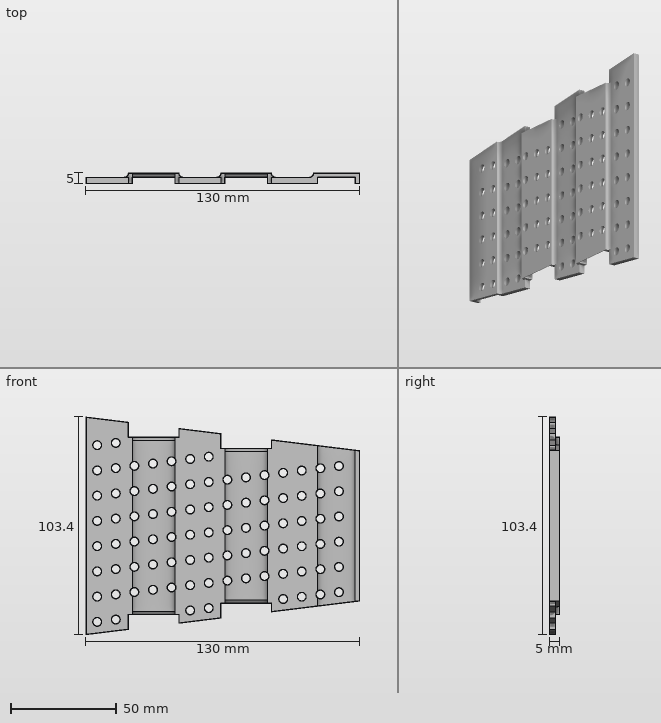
import cadquery as cq
import math

LENGTH = 130.0
WIDE_END = 103.4
TAPER = math.radians(7)

LOW_THICKNESS = 3.0
RAISED_THICKNESS = 2.0
TOTAL_THICKNESS = LOW_THICKNESS + RAISED_THICKNESS

STEP_WALL = 2.0
FIRST_CHANNEL = 20.0
CHANNEL_PITCH = 44.0
CHANNEL_LENGTH = 24.0
CHANNEL_COUNT = 2
LAST_STEP = 108.0
END_FLANGE = 2.2
FOOT_RADIUS = RAISED_THICKNESS
CHANNEL_INSET = 4.0
END_CHAMFER = 1.5

HOLE_DIAMETER = 4.0
FIRST_HOLE_X = 5.2
FIRST_HOLE_Z = -45.6
COLUMN_PITCH = 8.8
ROW_SPAN = 84.0
COLUMN_ROWS = (
    [(0, 7)] * 2
    + [(1, 6)] * 3
    + [(0, 6)] * 2
    + [(1, 5)] * 3
    + [(0, 5)] * 4
)
WIDEST_ROWS = COLUMN_ROWS[0]
ROW_PITCH = ROW_SPAN / (WIDEST_ROWS[1] - WIDEST_ROWS[0])


def half_width(x):
    """Half the plate width at a distance x from the wide end."""
    return WIDE_END / 2 - x * math.tan(TAPER)


def slab(x_start, x_end, y_start, y_end, half_height):
    """Box centred on Z = 0."""
    size = (x_end - x_start, y_end - y_start, 2 * half_height)
    return cq.Workplane("XY", origin=(x_start, y_start, 0)).box(*size, centered=(False, False, True))


def tapered_panel(x_start, x_end, y_start, y_end):
    """Flat panel whose ends follow the tapered plate edges."""
    start, end = half_width(x_start), half_width(x_end)
    outline = [(x_start, -start), (x_end, -end), (x_end, end), (x_start, start)]
    return cq.Workplane("XZ", origin=(0, y_start, 0)).polyline(outline).close().extrude(y_start - y_end)


def foot_fillet(x_wall, direction, half_height):
    """Concave fillet on the back of a low panel, beside a raised panel's wall."""
    x_toe = x_wall + direction * FOOT_RADIUS
    y_crest = LOW_THICKNESS + FOOT_RADIUS
    arc_inset = FOOT_RADIUS * (1 - math.sqrt(0.5))
    arc_middle = (x_wall + direction * arc_inset, LOW_THICKNESS + arc_inset)
    profile = (
        cq.Workplane("XY")
        .moveTo(x_wall, LOW_THICKNESS)
        .lineTo(x_toe, LOW_THICKNESS)
        .threePointArc(arc_middle, (x_wall, y_crest))
        .close()
    )
    return profile.extrude(half_height, both=True)


def channel(x_start):
    """Raised panel with chamfered ends between two full-thickness step walls."""
    x_end = x_start + CHANNEL_LENGTH
    back = half_width(x_end) - CHANNEL_INSET
    front = back - END_CHAMFER
    chamfer_top = LOW_THICKNESS + END_CHAMFER
    section = [
        (LOW_THICKNESS, -front),
        (chamfer_top, -back),
        (TOTAL_THICKNESS, -back),
        (TOTAL_THICKNESS, back),
        (chamfer_top, back),
        (LOW_THICKNESS, front),
    ]
    body = cq.Workplane("YZ", origin=(x_start, 0, 0)).polyline(section).close().extrude(CHANNEL_LENGTH)
    for wall_start in (x_start, x_end - STEP_WALL):
        body = body.union(slab(wall_start, wall_start + STEP_WALL, 0, TOTAL_THICKNESS, back))
    body = body.union(foot_fillet(x_start, -1, back))
    return body.union(foot_fillet(x_end, 1, back))


def end_panel():
    """Raised panel at the narrow end, closed by a full-thickness flange."""
    panel = tapered_panel(LAST_STEP, LENGTH, LOW_THICKNESS, TOTAL_THICKNESS)
    flange = tapered_panel(LENGTH - END_FLANGE, LENGTH, 0, TOTAL_THICKNESS)
    fillet = foot_fillet(LAST_STEP, -1, half_width(0))
    plate_outline = tapered_panel(0, LENGTH, 0, TOTAL_THICKNESS)
    return panel.union(flange).union(fillet.intersect(plate_outline))


def holes():
    """Straight through holes of the whole grid."""
    points = []
    for column, (first_row, last_row) in enumerate(COLUMN_ROWS):
        x = FIRST_HOLE_X + column * COLUMN_PITCH
        column_base = FIRST_HOLE_Z + column * COLUMN_PITCH * math.tan(TAPER)
        for row in range(first_row, last_row + 1):
            points.append((x, column_base + row * ROW_PITCH))
    return cq.Workplane("XZ").pushPoints(points).circle(HOLE_DIAMETER / 2).extrude(-TOTAL_THICKNESS)


channel_starts = [FIRST_CHANNEL + i * CHANNEL_PITCH for i in range(CHANNEL_COUNT)]
low_starts = [0] + [x + CHANNEL_LENGTH for x in channel_starts]
low_ends = channel_starts + [LAST_STEP + STEP_WALL]

plate = end_panel()
for low_start, low_end in zip(low_starts, low_ends):
    plate = plate.union(tapered_panel(low_start, low_end, 0, LOW_THICKNESS))
for channel_start in channel_starts:
    plate = plate.union(channel(channel_start))

result = plate.cut(holes())